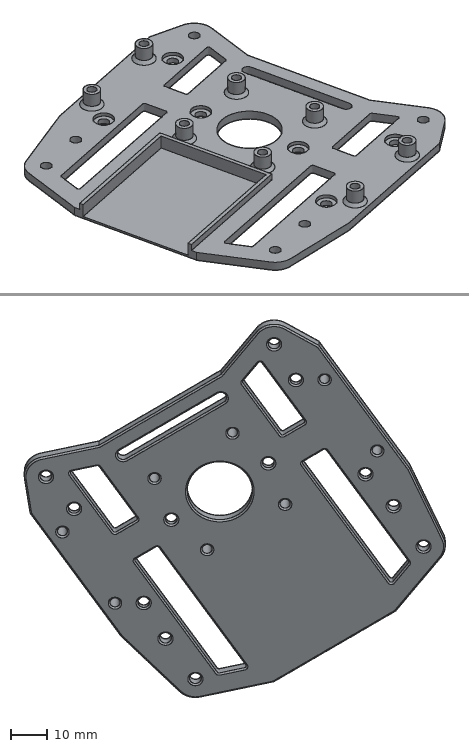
import cadquery as cq
import math

half_width = 47.5
plate_thickness = 3.0
edge_chamfer = 0.5
top_edge_y = 30.0
bottom_edge_y = -57.8
end_edge_half = 20.0
side_half_length = 22.8

corner_x = 37.5
corner_top_y = top_edge_y
corner_bottom_y = -45.0
corner_radius = 6.0
top_arc_angle = 60
bottom_arc_angle = -45

centre_hole_diameter = 18.0
screw_diameter = 3.2
extra_screw_y = -corner_top_y
counterbore_diameter = 5.9
counterbore_depth = 1.0
counterbore_points = [(36.5, 17.5), (36.5, -17.5), (16.0, 0)]

pin_diameter = 4.8
pin_bore = 2.8
pin_top_z = 8.0
pin_flare = 0.95
pin_base_z = plate_thickness / 2
pin_columns = [12.8, 43.1]
pin_row_y = 13.2

window_inner_x = 23.7
window_outer_x = 31.4
window_rib_half = 4.9
window_top_inner_y = 24.9
window_bottom_inner_y = -50.0
window_rise = 2.85
window_corner_radius = 0.6

slot_y = 24.0
slot_width = 3.2
slot_length = 35.3

tray_half_width = 18.3
tray_top_y = -17.1
tray_wall = 1.1
tray_wall_top_z = 5.0
tray_floor_z = 1.0


def mirrored(points):
    """Return the points together with their mirror images across the YZ plane."""
    return points + [(-x, y) for x, y in points]


def tangent_point(point, centre, side):
    """Touch point on a corner circle of the line from an outside point; side is +1 or -1."""
    dx = point[0] - centre[0]
    dy = point[1] - centre[1]
    spread = math.acos(corner_radius / math.hypot(dx, dy))
    return on_corner(centre, math.atan2(dy, dx) + side * spread)


def on_corner(centre, angle):
    """Point on a corner circle at the given angle."""
    return (
        centre[0] + corner_radius * math.cos(angle),
        centre[1] + corner_radius * math.sin(angle),
    )


def half_plate():
    """Right half of the plate, bounded by straight edges tangent to the corner arcs."""
    top_corner = (corner_x, corner_top_y)
    bottom_corner = (corner_x, corner_bottom_y)
    top_end = (end_edge_half, top_edge_y)
    bottom_end = (end_edge_half, bottom_edge_y)
    side_top = (half_width, side_half_length)
    side_bottom = (half_width, -side_half_length)
    return (
        cq.Workplane("XY")
        .moveTo(0, bottom_edge_y)
        .lineTo(*bottom_end)
        .lineTo(*tangent_point(bottom_end, bottom_corner, 1))
        .threePointArc(
            on_corner(bottom_corner, math.radians(bottom_arc_angle)),
            tangent_point(side_bottom, bottom_corner, -1),
        )
        .lineTo(*side_bottom)
        .lineTo(*side_top)
        .lineTo(*tangent_point(side_top, top_corner, 1))
        .threePointArc(
            on_corner(top_corner, math.radians(top_arc_angle)),
            tangent_point(top_end, top_corner, -1),
        )
        .lineTo(*top_end)
        .lineTo(0, top_edge_y)
        .close()
        .extrude(plate_thickness)
    )


def make_plate():
    """Full plate, mirrored from its right half."""
    right = half_plate()
    return right.union(right.mirror("YZ")).clean()


def through_holes(points, diameter):
    """Cylinders that cut right through the plate and the pins."""
    return cq.Workplane("XY").pushPoints(points).circle(diameter / 2).extrude(pin_top_z)


def make_window(rib_y, inner_y, outer_y):
    """Pair of windows, each with a straight rib end and a slanted far end."""
    window = (
        cq.Workplane("XY")
        .polyline([
            (window_inner_x, rib_y),
            (window_outer_x, rib_y),
            (window_outer_x, outer_y),
            (window_inner_x, inner_y),
        ])
        .close()
        .extrude(plate_thickness)
        .edges("|Z")
        .fillet(window_corner_radius)
    )
    return window.union(window.mirror("YZ"))


def make_pins():
    """Standoff pins, each with a conical flare at the plate surface."""
    radius = pin_diameter / 2
    flare_radius = radius + pin_flare
    flare_top_z = plate_thickness + pin_flare
    pin = (
        cq.Workplane("XZ")
        .moveTo(0, pin_base_z)
        .lineTo(radius, pin_base_z)
        .lineTo(flare_radius, plate_thickness)
        .lineTo(radius, flare_top_z)
        .lineTo(radius, pin_top_z)
        .lineTo(0, pin_top_z)
        .close()
        .revolve(360, (0, 0), (0, 1))
    )
    points = mirrored([(x, y) for x in pin_columns for y in (pin_row_y, -pin_row_y)])
    pins = cq.Workplane("XY").pushPoints(points).eachpoint(lambda place: pin.val().moved(place))
    return pins, points


def tray_block(half, top_y, base_z):
    """Block from the bottom edge up to top_y, between base_z and the top of the tray wall."""
    length = top_y - bottom_edge_y
    return (
        cq.Workplane("XY", origin=(0, bottom_edge_y + length / 2, base_z))
        .rect(2 * half, length)
        .extrude(tray_wall_top_z - base_z)
    )


pins, pin_points = make_pins()
screw_points = mirrored([(corner_x, y) for y in (corner_top_y, extra_screw_y, corner_bottom_y)])
counterbores = mirrored(counterbore_points)

body = make_plate().union(pins)
body = body.union(tray_block(tray_half_width, tray_top_y, tray_floor_z))
body = body.cut(tray_block(tray_half_width - tray_wall, tray_top_y - tray_wall, tray_floor_z))

body = body.cut(through_holes([(0, 0)], centre_hole_diameter))
body = body.cut(through_holes(screw_points + counterbores, screw_diameter))
body = body.cut(through_holes(pin_points, pin_bore))
body = body.cut(
    cq.Workplane("XY", origin=(0, 0, plate_thickness))
    .pushPoints(counterbores)
    .circle(counterbore_diameter / 2)
    .extrude(-counterbore_depth)
)

body = body.cut(make_window(window_rib_half, window_top_inner_y, window_top_inner_y + window_rise))
body = body.cut(make_window(-window_rib_half, window_bottom_inner_y, window_bottom_inner_y + window_rise))
body = body.cut(
    cq.Workplane("XY", origin=(0, slot_y, 0)).slot2D(slot_length, slot_width).extrude(plate_thickness)
)

result = body.faces("<Z").edges().chamfer(edge_chamfer)